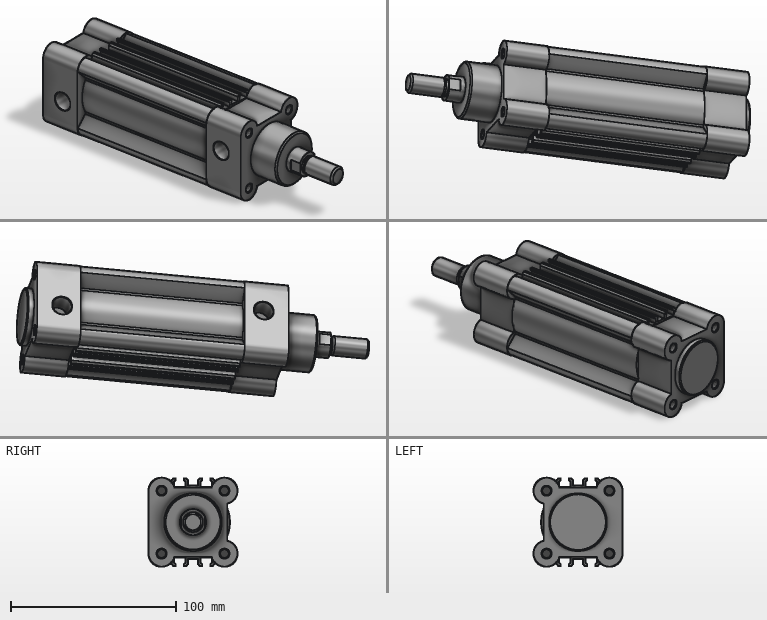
import cadquery as cq
import math


SPIGOT_LENGTH = 4.0
CAP_LENGTH = 27.0
TUBE_LENGTH = 101.0
NECK_LENGTH = 20.0

REAR_CAP_X = SPIGOT_LENGTH
TUBE_X = REAR_CAP_X + CAP_LENGTH
FRONT_CAP_X = TUBE_X + TUBE_LENGTH
FRONT_FACE_X = FRONT_CAP_X + CAP_LENGTH
ROD_X = FRONT_FACE_X + NECK_LENGTH

SCREW_OFFSET = 19.0
LOBE_RADIUS = 8.0
CAP_HALF = SCREW_OFFSET + LOBE_RADIUS
CAP_WAIST = 20.8
SPIGOT_DIAMETER = 35.0
SPIGOT_CHAMFER = 0.75
NECK_CHAMFER = 1.0
SCREW_HOLE_DIAMETER = 5.2
SCREW_SINK_DIAMETER = 6.2
SCREW_HOLE_DEPTH = 16.0
PORT_DIAMETER = 11.8
PORT_CHAMFER = 0.3
PORT_DEPTH = 14.0
PORT_FROM_TUBE = 11.6
PORT_OFFSET = 4.8
SCREW_SINK_ANGLE = 90.0

TUBE_HALF = 26.5
BARREL_RADIUS = 22.4
CORNER_RADIUS = 7.0
CORNER_CENTRE = TUBE_HALF - CORNER_RADIUS
GROOVE_WIDTH = 7.0
GROOVE_INNER = CORNER_CENTRE - GROOVE_WIDTH

SLOT_CENTRE = 8.0
SLOT_WIDTH = 6.7
SLOT_FLOOR = 21.5
SLOT_MOUTH = 4.6
LIP_THICKNESS = 1.0
LIP_TAPER = 1.0
RAIL_OUTER = 13.1
RAIL_INNER = 2.9
RAIL_CHAMFER = 1.2

ROD_DIAMETER = 16.0
ROD_LENGTH = 10.0
COLLAR_LENGTH = 2.3
COLLAR_CHAMFER = 0.7
WRENCH_DIAMETER = 15.7
FLATS_WIDTH = 14.0
RELIEF_DIAMETER = 11.0
RELIEF_LENGTH = 2.7
RELIEF_TAPER = 1.3
THREAD_DIAMETER = 12.0
THREAD_LENGTH = 21.3
THREAD_CHAMFER = 1.2


def yz_plane(x):
    """Sketch plane across the cylinder: local x is Y, local y is Z."""
    return cq.Workplane("YZ", origin=(x, 0, 0))


def screw_hole(outer_face_x, inward, y, z):
    """Cutter for a blind countersunk hole along X; inward is +1 or -1."""
    radius = SCREW_HOLE_DIAMETER / 2
    sink_radius = SCREW_SINK_DIAMETER / 2
    sink_depth = (sink_radius - radius) / math.tan(math.radians(SCREW_SINK_ANGLE / 2))
    return (
        cq.Workplane("XY", origin=(outer_face_x, y, z))
        .lineTo(0, sink_radius)
        .lineTo(inward * sink_depth, radius)
        .lineTo(inward * SCREW_HOLE_DEPTH, radius)
        .lineTo(inward * SCREW_HOLE_DEPTH, 0)
        .close()
        .revolve(360, (0, 0, 0), (1, 0, 0))
    )


def cap_body(x_start, outer_face_x, inward, port_x, port_z):
    """Cap with four lobes, a flat port side at -Y, screw holes and one port."""
    block_width = CAP_WAIST + CAP_HALF
    body = (
        yz_plane(x_start)
        .center((CAP_WAIST - CAP_HALF) / 2, 0)
        .rect(block_width, 2 * CAP_WAIST)
        .extrude(CAP_LENGTH)
    )
    trim_height = CAP_WAIST - SCREW_OFFSET
    for side in (-1, 1):
        trim = (
            yz_plane(x_start)
            .center(-CAP_HALF, side * (SCREW_OFFSET + trim_height / 2))
            .rect(2 * LOBE_RADIUS, trim_height)
            .extrude(CAP_LENGTH)
        )
        body = body.cut(trim)
    lobes = (
        yz_plane(x_start)
        .rect(2 * SCREW_OFFSET, 2 * SCREW_OFFSET, forConstruction=True)
        .vertices()
        .circle(LOBE_RADIUS)
        .extrude(CAP_LENGTH)
    )
    body = body.union(lobes)

    for y in (-SCREW_OFFSET, SCREW_OFFSET):
        for z in (-SCREW_OFFSET, SCREW_OFFSET):
            body = body.cut(screw_hole(outer_face_x, inward, y, z))

    port = (
        cq.Workplane("XZ", origin=(port_x, -CAP_HALF, port_z))
        .circle(PORT_DIAMETER / 2)
        .extrude(-PORT_DEPTH)
    )
    mouth_centre = cq.Vector(port_x, -CAP_HALF, port_z)
    port_radius = PORT_DIAMETER / 2
    port_mouth = cq.Solid.makeCone(
        port_radius + PORT_CHAMFER, port_radius, PORT_CHAMFER, mouth_centre, cq.Vector(0, 1, 0))
    return body.cut(port).cut(cq.Workplane(port_mouth))


def make_rear_cap():
    body = cap_body(REAR_CAP_X, REAR_CAP_X, 1, TUBE_X - PORT_FROM_TUBE, -PORT_OFFSET)
    spigot = (
        yz_plane(0)
        .circle(SPIGOT_DIAMETER / 2)
        .extrude(SPIGOT_LENGTH)
        .faces("<X")
        .chamfer(SPIGOT_CHAMFER)
    )
    return body.union(spigot)


def make_front_cap():
    body = cap_body(FRONT_CAP_X, FRONT_FACE_X, -1, FRONT_CAP_X + PORT_FROM_TUBE, PORT_OFFSET)
    neck = (
        yz_plane(FRONT_FACE_X)
        .circle(SPIGOT_DIAMETER / 2)
        .extrude(NECK_LENGTH)
        .faces(">X")
        .chamfer(NECK_CHAMFER)
    )
    return body.union(neck)


def mirrored_both(quarter):
    """Repeat a +Y +Z quarter of the tube in all four quadrants."""
    half = quarter.union(quarter.mirror("XZ"))
    return half.union(half.mirror("XY"))


def make_tube():
    arc_mid = CORNER_CENTRE + CORNER_RADIUS * math.sqrt(0.5)
    lobe = (
        yz_plane(TUBE_X)
        .lineTo(CORNER_CENTRE, 0)
        .lineTo(CORNER_CENTRE, GROOVE_INNER)
        .lineTo(TUBE_HALF, CORNER_CENTRE)
        .threePointArc((arc_mid, arc_mid), (CORNER_CENTRE, TUBE_HALF))
        .lineTo(GROOVE_INNER, CORNER_CENTRE)
        .lineTo(0, CORNER_CENTRE)
        .close()
        .extrude(TUBE_LENGTH)
    )
    rails = (
        yz_plane(TUBE_X)
        .moveTo(RAIL_INNER, 0)
        .lineTo(RAIL_INNER, TUBE_HALF - RAIL_CHAMFER)
        .lineTo(RAIL_INNER + RAIL_CHAMFER, TUBE_HALF)
        .lineTo(RAIL_OUTER - RAIL_CHAMFER, TUBE_HALF)
        .lineTo(RAIL_OUTER, TUBE_HALF - RAIL_CHAMFER)
        .lineTo(RAIL_OUTER, 0)
        .close()
        .extrude(TUBE_LENGTH)
    )
    mouth_half = SLOT_MOUTH / 2
    slot_half = SLOT_WIDTH / 2
    lip_z = TUBE_HALF - LIP_THICKNESS
    slot = (
        yz_plane(TUBE_X)
        .center(SLOT_CENTRE, 0)
        .moveTo(-slot_half, SLOT_FLOOR)
        .lineTo(-slot_half, lip_z - LIP_TAPER)
        .lineTo(-mouth_half, lip_z)
        .lineTo(-mouth_half, TUBE_HALF)
        .lineTo(mouth_half, TUBE_HALF)
        .lineTo(mouth_half, lip_z)
        .lineTo(slot_half, lip_z - LIP_TAPER)
        .lineTo(slot_half, SLOT_FLOOR)
        .close()
        .extrude(TUBE_LENGTH)
    )
    barrel = yz_plane(TUBE_X).circle(BARREL_RADIUS).extrude(TUBE_LENGTH)
    solid = barrel.union(mirrored_both(lobe.union(rails)))
    return solid.cut(mirrored_both(slot))


def make_rod():
    radius = ROD_DIAMETER / 2
    wrench = WRENCH_DIAMETER / 2
    relief = RELIEF_DIAMETER / 2
    thread = THREAD_DIAMETER / 2
    collar_end_x = ROD_X + COLLAR_LENGTH
    wrench_x = collar_end_x + COLLAR_CHAMFER
    shoulder_x = ROD_X + ROD_LENGTH
    thread_x = shoulder_x + RELIEF_LENGTH
    end_x = thread_x + THREAD_LENGTH
    rod = (
        cq.Workplane("XY")
        .moveTo(ROD_X, 0)
        .lineTo(ROD_X, radius)
        .lineTo(collar_end_x, radius)
        .lineTo(wrench_x, wrench)
        .lineTo(shoulder_x, wrench)
        .lineTo(shoulder_x, relief)
        .lineTo(thread_x - RELIEF_TAPER, relief)
        .lineTo(thread_x, thread)
        .lineTo(end_x - THREAD_CHAMFER, thread)
        .lineTo(end_x, thread - THREAD_CHAMFER)
        .lineTo(end_x, 0)
        .close()
        .revolve(360, (0, 0, 0), (1, 0, 0))
    )
    flats_length = shoulder_x - wrench_x
    cut_depth = (ROD_DIAMETER - FLATS_WIDTH) / 2
    for side in (-1, 1):
        cutter = cq.Workplane("XY").box(flats_length, cut_depth, ROD_DIAMETER).translate(
            (shoulder_x - flats_length / 2, side * (FLATS_WIDTH + cut_depth) / 2, 0))
        rod = rod.cut(cutter)
    return rod


rear_cap = make_rear_cap()
tube = make_tube()
front_cap = make_front_cap()
rod = make_rod()

result = cq.Compound.makeCompound([rear_cap.val(), tube.val(), front_cap.val(), rod.val()])